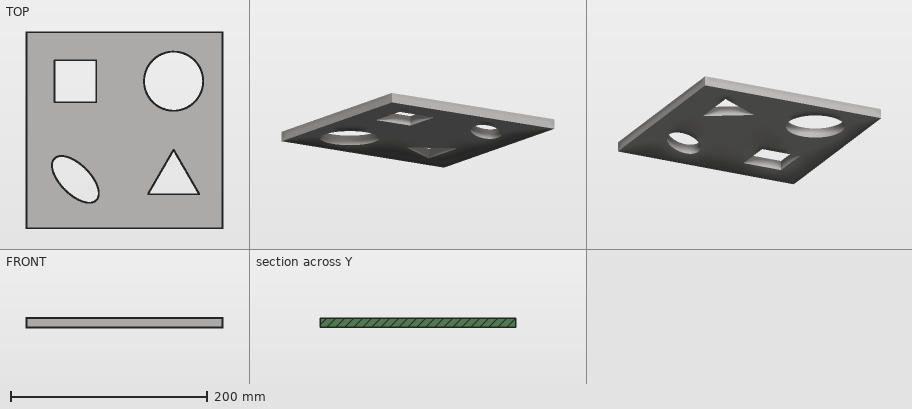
import cadquery as cq
import math

plate_side = 200
plate_thickness = 10
cutout_offset = plate_side / 4

cutout_diameter = 60
square_side = cutout_diameter / math.sqrt(2)
ellipse_major_radius = cutout_diameter / 2
ellipse_minor_radius = ellipse_major_radius / 2
ellipse_angle = -45
triangle_start_angle = 90


def cutter_plane(x_side, y_side):
    """Workplane on the plate's bottom face, centred in the chosen quadrant."""
    return cq.Workplane("XY").center(x_side * cutout_offset, y_side * cutout_offset)


plate = cq.Workplane("XY").rect(plate_side, plate_side).extrude(plate_thickness)

circle = cutter_plane(1, 1).circle(cutout_diameter / 2).extrude(plate_thickness)

square = cutter_plane(-1, 1).rect(square_side, square_side).extrude(plate_thickness)

ellipse = (
    cutter_plane(-1, -1)
    .ellipse(ellipse_major_radius, ellipse_minor_radius, rotation_angle=ellipse_angle)
    .extrude(plate_thickness)
)

triangle_angles = [math.radians(triangle_start_angle + 120 * i) for i in range(3)]
triangle_corners = [
    (cutout_diameter / 2 * math.cos(angle), cutout_diameter / 2 * math.sin(angle))
    for angle in triangle_angles
]
triangle = cutter_plane(1, -1).polyline(triangle_corners).close().extrude(plate_thickness)

result = plate.cut(circle).cut(square).cut(ellipse).cut(triangle)